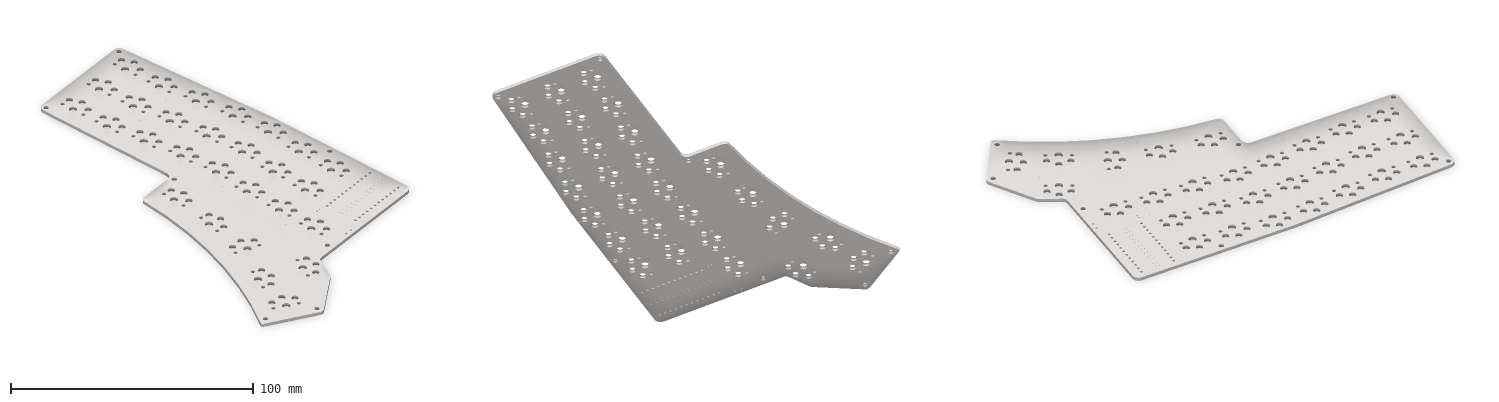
import math

import cadquery as cq


LENGTH_X = 175.86
LENGTH_Y = 108.65
THICKNESS = 1.6

LEFT = -LENGTH_X / 2
RIGHT_TIP = LENGTH_X / 2
TOP = LENGTH_Y / 2
BOTTOM_TIP = -LENGTH_Y / 2

COLUMN_PITCH = 18.0
ROW_PITCH = 17.0
ROW_COUNT = 3
FIRST_KEY_X = -76.11
FIRST_KEY_Y = 6.33
COLUMN_STAGGER = [0.0, 0.0, 2.0, 4.0, 5.0, 3.0, 2.0]
INNER_KEY_STAGGER = 1.0

THUMB_KEYS = [
    (-6.11, -13.67, -4.0),
    (15.42, -17.08, -13.5),
    (37.92, -19.66, 66.0),
    (54.02, -32.55, -28.0),
    (63.46, -14.91, -28.0),
    (74.03, -38.63, 57.0),
]

STEM_DIAMETER = 3.43
PIN_DIAMETER = 3.0
PIN_POINTS = [(0.0, 5.95), (-5.0, 3.75), (5.0, 3.75)]
PEG_DIAMETER = 1.7
PEG_POINTS = [(-5.5, 0.0), (5.5, 0.0)]
KEY_VIA_DIAMETER = 0.3
KEY_VIA_POINTS = [(8.0, -5.5)]

HEADER_CENTER_X = 53.0
HEADER_TOP_Y = 51.04
HEADER_PITCH = 2.54
HEADER_PIN_COUNT = 12
HEADER_ROW_SPACING = 15.24
HEADER_PIN_DIAMETER = 1.1
HEADER_VIA_SPACING = 1.5
HEADER_VIA_DIAMETER = 0.4

MOUNT_DIAMETER = 2.2
MOUNT_POINTS = [
    (-85.46, 47.8),
    (-85.46, 0.16),
    (23.56, 51.81),
    (61.94, 3.1),
    (-14.52, -3.12),
    (85.06, -32.04),
    (72.9, -50.77),
]

BATTERY_HOLE_DIAMETER = 0.7
BATTERY_HOLE_SPACING = 1.5
BATTERY_CENTER = (44.55, 18.7)
SWITCH_HOLE_DIAMETER = 0.9
SWITCH_HOLE_SPACING = 3.0
SWITCH_CENTER = (63.19, 15.38)

TOP_LEFT_Y = 50.15
TOP_SLOPE_END_X = -10.2
GRID_RIGHT = 65.1
GRID_BOTTOM = -1.9
THUMB_LEFT = -16.75
SHOULDER_START = (GRID_RIGHT, -5.95)
SHOULDER_END = (75.68, -11.65)
RIGHT_ROUNDING_LOSS = 0.4
BOTTOM_ROUNDING_LOSS = 0.425
RIGHT_CORNER = (RIGHT_TIP + RIGHT_ROUNDING_LOSS, -31.85)
BOTTOM_CORNER = (73.85, BOTTOM_TIP - BOTTOM_ROUNDING_LOSS)
THUMB_LEFT_CORNER = (THUMB_LEFT, -22.1)
THUMB_ARC_MIDDLE = (31.17, -32.28)

GRID_CORNER_RADIUS = 2.8
INNER_CORNER_RADIUS = 3.0
SHOULDER_RADIUS = 2.0
THUMB_CORNER_RADIUS = 2.0
RIGHT_CORNER_RADIUS = 2.2
BOTTOM_CORNER_RADIUS = 1.0


def vertical_edge_near(x, y):
    """Selector for the upright edge standing at a plan position."""
    return cq.selectors.NearestToPointSelector((x, y, THICKNESS / 2))


def make_plate():
    """Plate blank with its outline corners rounded."""
    plate = (
        cq.Workplane("XY")
        .moveTo(LEFT, TOP_LEFT_Y)
        .lineTo(TOP_SLOPE_END_X, TOP)
        .lineTo(GRID_RIGHT, TOP)
        .lineTo(*SHOULDER_START)
        .lineTo(*SHOULDER_END)
        .lineTo(*RIGHT_CORNER)
        .lineTo(*BOTTOM_CORNER)
        .threePointArc(THUMB_ARC_MIDDLE, THUMB_LEFT_CORNER)
        .lineTo(THUMB_LEFT, GRID_BOTTOM)
        .lineTo(LEFT, GRID_BOTTOM)
        .close()
        .extrude(THICKNESS)
    )
    corners = [
        ((LEFT, TOP_LEFT_Y), GRID_CORNER_RADIUS),
        ((GRID_RIGHT, TOP), GRID_CORNER_RADIUS),
        ((LEFT, GRID_BOTTOM), GRID_CORNER_RADIUS),
        ((THUMB_LEFT, GRID_BOTTOM), INNER_CORNER_RADIUS),
        (SHOULDER_START, SHOULDER_RADIUS),
        (SHOULDER_END, SHOULDER_RADIUS),
        (RIGHT_CORNER, RIGHT_CORNER_RADIUS),
        (BOTTOM_CORNER, BOTTOM_CORNER_RADIUS),
        (THUMB_LEFT_CORNER, THUMB_CORNER_RADIUS),
    ]
    for corner, radius in corners:
        plate = plate.edges("|Z").edges(vertical_edge_near(*corner)).fillet(radius)
    return plate


def key_placements():
    """Centre and rotation of every key switch."""
    placements = []
    for column, stagger in enumerate(COLUMN_STAGGER):
        for row in range(ROW_COUNT):
            x = FIRST_KEY_X + column * COLUMN_PITCH
            y = FIRST_KEY_Y + stagger + row * ROW_PITCH
            placements.append((x, y, 0.0))
    inner_key_x = FIRST_KEY_X + len(COLUMN_STAGGER) * COLUMN_PITCH
    placements.append((inner_key_x, FIRST_KEY_Y + INNER_KEY_STAGGER, 0.0))
    return placements + THUMB_KEYS


def at_every_key(pattern):
    """Plate positions of a switch-relative point pattern, repeated for all keys."""
    points = []
    for key_x, key_y, rotation in key_placements():
        cos_r = math.cos(math.radians(rotation))
        sin_r = math.sin(math.radians(rotation))
        for x, y in pattern:
            points.append((key_x + x * cos_r - y * sin_r, key_y + x * sin_r + y * cos_r))
    return points


def header_points(row_spacing):
    """Two vertical rows of header positions, set symmetrically about the header centre."""
    points = []
    for side in (-1, 1):
        for pin in range(HEADER_PIN_COUNT):
            x = HEADER_CENTER_X + side * row_spacing / 2
            points.append((x, HEADER_TOP_Y - pin * HEADER_PITCH))
    return points


def vertical_pair(center, spacing):
    """Two points set above and below a centre along Y."""
    x, y = center
    return [(x, y - spacing / 2), (x, y + spacing / 2)]


def through_holes(points, diameter):
    """Cylinders through the plate thickness at the given points."""
    return cq.Workplane("XY").pushPoints(points).circle(diameter / 2).extrude(THICKNESS)


HOLE_GROUPS = [
    (at_every_key([(0.0, 0.0)]), STEM_DIAMETER),
    (at_every_key(PIN_POINTS), PIN_DIAMETER),
    (at_every_key(PEG_POINTS), PEG_DIAMETER),
    (at_every_key(KEY_VIA_POINTS), KEY_VIA_DIAMETER),
    (header_points(HEADER_ROW_SPACING), HEADER_PIN_DIAMETER),
    (header_points(HEADER_VIA_SPACING), HEADER_VIA_DIAMETER),
    (MOUNT_POINTS, MOUNT_DIAMETER),
    (vertical_pair(BATTERY_CENTER, BATTERY_HOLE_SPACING), BATTERY_HOLE_DIAMETER),
    (vertical_pair(SWITCH_CENTER, SWITCH_HOLE_SPACING), SWITCH_HOLE_DIAMETER),
]

result = make_plate()
for hole_points, hole_diameter in HOLE_GROUPS:
    result = result.cut(through_holes(hole_points, hole_diameter))